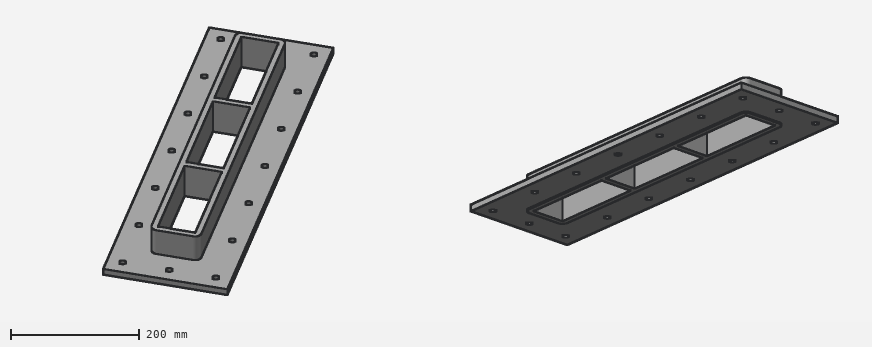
import cadquery as cq

plate_width = 200.5
plate_length = 638.5
plate_thickness = 11.5

total_height = 60.0
duct_below_plate = 2.0
cell_width = 60.0
cell_length = 160.0
cell_count = 3
wall = 10.0
corner_radius = 10.0
cell_pitch = cell_length + wall
duct_width = cell_width + 2 * wall
duct_length = cell_count * cell_pitch + wall

hole_diameter = 10.0
hole_column_offset = 75.5
hole_pitch = 98.5
holes_per_side = 7


def make_plate():
    """Flat plate whose underside sits slightly above the duct's lower end."""
    return (
        cq.Workplane("XY")
        .workplane(offset=duct_below_plate)
        .rect(plate_width, plate_length)
        .extrude(plate_thickness)
    )


def make_duct_body():
    """Solid duct envelope with rounded vertical corners."""
    return (
        cq.Workplane("XY")
        .rect(duct_width, duct_length)
        .extrude(total_height)
        .edges("|Z")
        .fillet(corner_radius)
    )


def make_cells():
    """Sharp-cornered through openings, separated by the dividing ribs."""
    return (
        cq.Workplane("XY")
        .rarray(6.5, cell_pitch, 1, cell_count)
        .rect(cell_width, cell_length)
        .extrude(total_height)
    )


def make_bolt_holes():
    """A row of holes along each long side and one at the middle of each end."""
    end_row = hole_pitch * (holes_per_side - 1) / 2
    side_holes = (
        cq.Workplane("XY")
        .rarray(2 * hole_column_offset, hole_pitch, 2, holes_per_side)
        .circle(hole_diameter / 2)
        .extrude(total_height)
    )
    end_holes = (
        cq.Workplane("XY")
        .pushPoints([(0, -end_row), (0, end_row)])
        .circle(hole_diameter / 2)
        .extrude(total_height)
    )
    return side_holes.union(end_holes)


result = make_plate().union(make_duct_body()).cut(make_cells()).cut(make_bolt_holes())